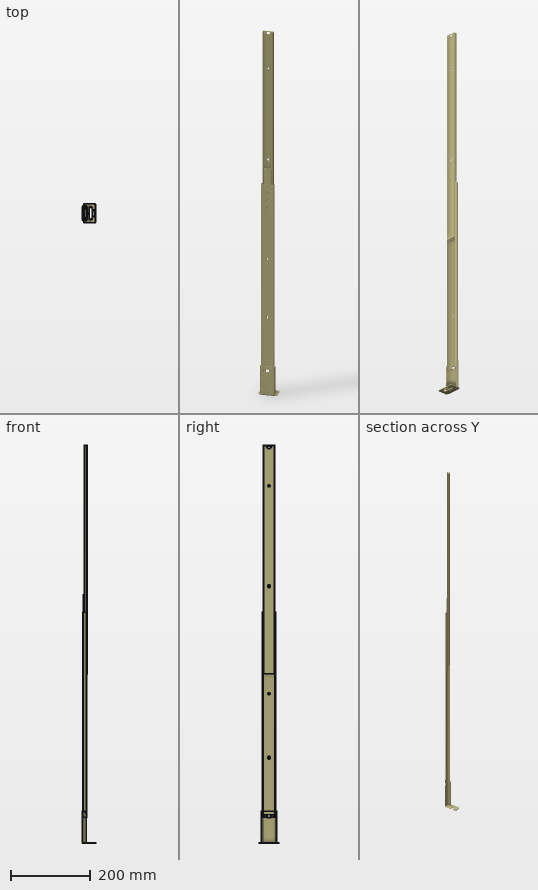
import cadquery as cq

TOTAL_HEIGHT = 998.9

SHEET = 1.3

BRACKET_HEIGHT = 80.5
BRACKET_WIDTH = 38.4
BRACKET_DEPTH = 10.0
BRACKET_BEND = 4.4
FLANGE_CUT_DEPTH = 4.0
FLANGE_CUT_HEIGHT = 8.0
WINDOW_WIDTH = 21.0

FOOT_LENGTH = 33.0
FOOT_WIDTH = 48.5
FOOT_THICKNESS = 2.0
HEEL_CUT = 1.9
FOOT_START = 3.0
FOOT_CORNER = 4.0
FOOT_HOLE_X = 15.0
FOOT_HOLE_DIAMETER = 3.0
LARGE_SLOT_X = 21.0
LARGE_SLOT_LENGTH = 31.0
LARGE_SLOT_WIDTH = 7.0
SMALL_SLOT_X = 28.5
SMALL_SLOT_LENGTH = 17.0
SMALL_SLOT_WIDTH = 4.0

BEND_FULLNESS = 0.65

OUTER_TOP = 580.0
OUTER_BOTTOM = 65.0
OUTER_WIDTH = 35.0
OUTER_BACK = SHEET
OUTER_FRONT = 10.3
OUTER_WEB_WIDTH = 28.4
OUTER_BEND_WIDTH = 34.0
OUTER_LIP_WIDTH = 32.0
OUTER_BEND_DEPTH = 2.0

INNER_BOTTOM = 425.5
INNER_WIDTH = 27.8
INNER_BACK = 4.0
INNER_FRONT = 12.0
INNER_WEB_BACK = INNER_FRONT - SHEET
INNER_LIP_END_WIDTH = 23.0
INNER_BEND_WIDTH = 27.0
INNER_WEB_WIDTH = 28.0
INNER_BEND_DEPTH = 2.0

NOTCH_WIDTH = 9.0
NOTCH_DEPTH = 6.5
SCREW_DIAMETER = 4.0
SCREW_SLOT_LENGTH = 7.0
OUTER_HOLE_Z = 376.0
OUTER_SLOT_Z = (516.0, 215.0)
HALF_MOON_Z = 536.5
HALF_MOON_WIDTH = 9.0
HALF_MOON_HEIGHT = 4.5
KEY_TOP_Z = 561.0
KEY_TOP_WIDTH = 15.0
KEY_BOTTOM_WIDTH = 8.0
KEY_HEIGHT = 6.5
HANGING_SLOT_Z = 994.2
HANGING_SLOT_HEIGHT = 6.0
INNER_HOLE_Z = 897.0
INNER_SLOT_Z = 645.5

CAGE_TOP = 624.5
CAGE_WIDTH = 18.0
CAGE_FACE_WIDTH = 15.0

STOP_WIDTH = 10.0
STOP_HEIGHT = 13.0
STOP_SLIT_WIDTH = 3.0
STOP_SLIT_HEIGHT = 11.0


def rail_channel(
    back, front, back_width, bend_width, bend_depth, middle_width, front_width, bottom, top, open_front
):
    """Rail of bent sheet, open at its front or at its back, with bowed flanges and a bend at the back."""
    bend_x = back + bend_depth
    middle_x = (bend_x + front) / 2
    bend_middle_x = back + bend_depth * (1 - BEND_FULLNESS)
    bend_middle_y = (back_width + (bend_width - back_width) * BEND_FULLNESS) / 2
    height = top - bottom
    solid_bar = (
        cq.Workplane("XY", origin=(0, 0, bottom))
        .moveTo(back, -back_width / 2)
        .lineTo(back, back_width / 2)
        .threePointArc((bend_middle_x, bend_middle_y), (bend_x, bend_width / 2))
        .threePointArc((middle_x, middle_width / 2), (front, front_width / 2))
        .lineTo(front, -front_width / 2)
        .threePointArc((middle_x, -middle_width / 2), (bend_x, -bend_width / 2))
        .threePointArc((bend_middle_x, -bend_middle_y), (back, -back_width / 2))
        .close()
        .extrude(height)
    )
    end_outline = solid_bar.faces("<Z").wires().toPending()
    cavity = end_outline.offset2D(-SHEET).extrude(height, combine=False)
    if open_front:
        mouth = web_block(front - SHEET, bottom, front_width - 2 * SHEET, height)
    else:
        mouth = web_block(back, bottom, back_width - 2 * SHEET, height)
    return solid_bar.cut(cavity).cut(mouth)


def web_slot(back, z, length, width, angle=0.0):
    """Cutter for a round-ended slot through a web; angle 90 stands the slot upright."""
    return (
        cq.Workplane("YZ", origin=(back, 0, z))
        .slot2D(length, width, angle)
        .extrude(SHEET)
    )


def web_hole(back, z):
    """Cutter for a round screw hole through a web."""
    return cq.Workplane("YZ", origin=(back, 0, z)).circle(SCREW_DIAMETER / 2).extrude(SHEET)


def web_block(back, bottom, width, height):
    """Rectangular block as thick as a web, standing on the given height."""
    return (
        cq.Workplane("XY")
        .box(SHEET, width, height, centered=(False, True, False))
        .translate((back, 0, bottom))
    )


def foot_slot(x, length, width):
    """Cutter for a slot through the foot plate, running along Y."""
    return cq.Workplane("XY", origin=(x, 0, 0)).slot2D(length, width, 90).extrude(FOOT_THICKNESS)


def make_bracket():
    """Upright channel that cradles the outer rail, standing on a slotted foot plate."""
    upright = (
        cq.Workplane("XY")
        .box(BRACKET_DEPTH, BRACKET_WIDTH, BRACKET_HEIGHT, centered=(False, True, False))
        .edges("|Z and <X")
        .fillet(BRACKET_BEND)
        .faces(">X or >Z")
        .shell(-SHEET)
    )
    flange_cut = (
        cq.Workplane("XZ")
        .moveTo(BRACKET_DEPTH, BRACKET_HEIGHT)
        .lineTo(BRACKET_DEPTH - FLANGE_CUT_DEPTH, BRACKET_HEIGHT)
        .lineTo(BRACKET_DEPTH, BRACKET_HEIGHT - FLANGE_CUT_HEIGHT)
        .close()
        .extrude(BRACKET_WIDTH, both=True)
    )
    foot = (
        cq.Workplane("XY")
        .box(FOOT_LENGTH - FOOT_START, FOOT_WIDTH, FOOT_THICKNESS, centered=(False, True, False))
        .translate((FOOT_START, 0, 0))
        .edges("|Z")
        .fillet(FOOT_CORNER)
    )
    heel_cut = (
        cq.Workplane("XZ")
        .lineTo(HEEL_CUT, 0)
        .lineTo(0, HEEL_CUT)
        .close()
        .extrude(BRACKET_WIDTH, both=True)
    )
    window = web_block(0, OUTER_BOTTOM, WINDOW_WIDTH, NOTCH_DEPTH)
    foot_hole = (
        cq.Workplane("XY", origin=(FOOT_HOLE_X, 0, 0))
        .circle(FOOT_HOLE_DIAMETER / 2)
        .extrude(FOOT_THICKNESS)
    )
    return (
        upright.cut(flange_cut)
        .cut(window)
        .union(foot)
        .cut(heel_cut)
        .cut(foot_hole)
        .cut(foot_slot(LARGE_SLOT_X, LARGE_SLOT_LENGTH, LARGE_SLOT_WIDTH))
        .cut(foot_slot(SMALL_SLOT_X, SMALL_SLOT_LENGTH, SMALL_SLOT_WIDTH))
    )


def make_outer_rail():
    """Wide rail with an end notch, screw holes, latch openings and a seat for the end stop."""
    rail = rail_channel(
        OUTER_BACK,
        OUTER_FRONT,
        OUTER_WEB_WIDTH,
        OUTER_BEND_WIDTH,
        OUTER_BEND_DEPTH,
        OUTER_WIDTH,
        OUTER_LIP_WIDTH,
        OUTER_BOTTOM,
        OUTER_TOP,
        open_front=True,
    )
    rail = rail.cut(web_block(OUTER_BACK, OUTER_BOTTOM, NOTCH_WIDTH, NOTCH_DEPTH))
    rail = rail.cut(web_block(OUTER_BACK, OUTER_TOP - STOP_HEIGHT, STOP_WIDTH, STOP_HEIGHT))
    rail = rail.cut(web_hole(OUTER_BACK, OUTER_HOLE_Z))
    for z in OUTER_SLOT_Z:
        rail = rail.cut(web_slot(OUTER_BACK, z, SCREW_SLOT_LENGTH, SCREW_DIAMETER, 90))
    half_moon = (
        cq.Workplane("YZ", origin=(OUTER_BACK, 0, HALF_MOON_Z))
        .moveTo(-HALF_MOON_WIDTH / 2, 0)
        .threePointArc((0, HALF_MOON_HEIGHT), (HALF_MOON_WIDTH / 2, 0))
        .close()
        .extrude(SHEET)
    )
    key_opening = (
        cq.Workplane("YZ", origin=(OUTER_BACK, 0, 0))
        .moveTo(-KEY_TOP_WIDTH / 2, KEY_TOP_Z)
        .lineTo(KEY_TOP_WIDTH / 2, KEY_TOP_Z)
        .lineTo(KEY_BOTTOM_WIDTH / 2, KEY_TOP_Z - KEY_HEIGHT)
        .lineTo(-KEY_BOTTOM_WIDTH / 2, KEY_TOP_Z - KEY_HEIGHT)
        .close()
        .extrude(SHEET)
    )
    return rail.cut(half_moon).cut(key_opening)


def make_inner_rail():
    """Narrow rail with a hanging slot at its top and two screw holes."""
    rail = rail_channel(
        INNER_BACK,
        INNER_FRONT,
        INNER_LIP_END_WIDTH,
        INNER_BEND_WIDTH,
        INNER_BEND_DEPTH,
        INNER_WIDTH,
        INNER_WEB_WIDTH,
        INNER_BOTTOM,
        TOTAL_HEIGHT,
        open_front=False,
    )
    rail = rail.cut(web_slot(INNER_WEB_BACK, HANGING_SLOT_Z, NOTCH_WIDTH, HANGING_SLOT_HEIGHT))
    rail = rail.cut(web_hole(INNER_WEB_BACK, INNER_HOLE_Z))
    return rail.cut(web_slot(INNER_WEB_BACK, INNER_SLOT_Z, SCREW_SLOT_LENGTH, SCREW_DIAMETER, 90))


def make_ball_cage():
    """Strip with bevelled long edges, lying against the outer rail's web."""
    back = OUTER_BACK + SHEET
    return (
        cq.Workplane("XY", origin=(0, 0, INNER_BOTTOM))
        .moveTo(back, -CAGE_FACE_WIDTH / 2)
        .lineTo(INNER_BACK, -CAGE_WIDTH / 2)
        .lineTo(INNER_BACK, CAGE_WIDTH / 2)
        .lineTo(back, CAGE_FACE_WIDTH / 2)
        .close()
        .extrude(CAGE_TOP - INNER_BOTTOM)
    )


def make_end_stop():
    """Small slit block filling the seat in the outer rail's top edge."""
    body = web_block(OUTER_BACK, OUTER_TOP - STOP_HEIGHT, STOP_WIDTH, STOP_HEIGHT)
    slit = web_block(OUTER_BACK, OUTER_TOP - STOP_SLIT_HEIGHT, STOP_SLIT_WIDTH, STOP_SLIT_HEIGHT)
    return body.cut(slit)


bracket = make_bracket()
outer_rail = make_outer_rail()
inner_rail = make_inner_rail()
ball_cage = make_ball_cage()
end_stop = make_end_stop()

result = cq.Compound.makeCompound(
    [bracket.val(), outer_rail.val(), inner_rail.val(), ball_cage.val(), end_stop.val()]
)